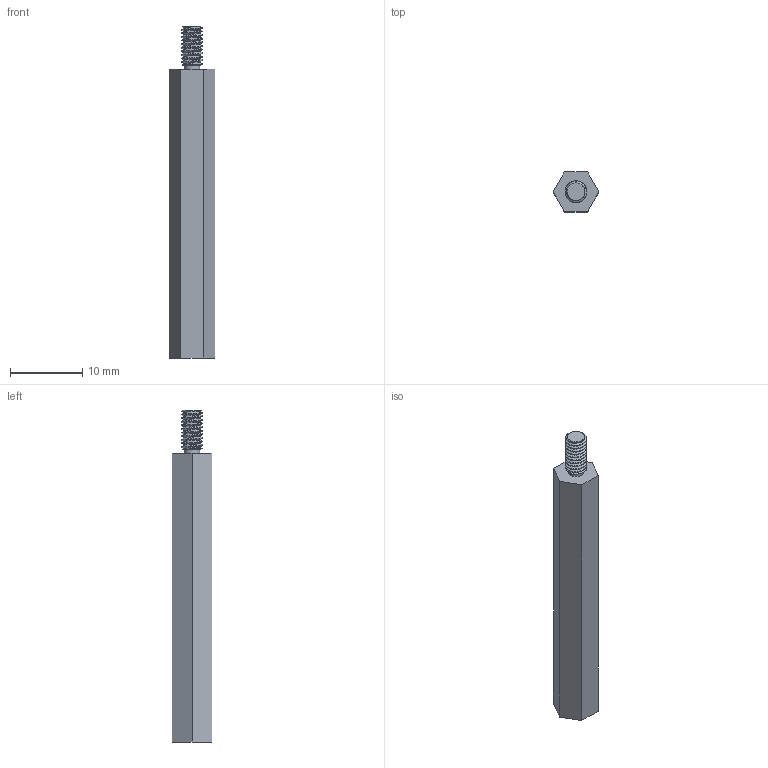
import cadquery as cq
import math

hex_across_flats = 5.5
hex_length = 40.0

stud_length = 6.0
neck_diameter = 2.2
neck_length = 0.5
thread_diameter = 3.0
thread_pitch = 0.5
end_taper_length = 0.2

flank_slope = math.tan(math.radians(30))
sharp_height = thread_pitch / 2 / flank_slope
ridge_height = sharp_height * 5 / 8
crest_width = thread_pitch / 8

root_overlap = 0.05
trim_clearance = 0.1
core_seam_turn = 90.0

thread_radius = thread_diameter / 2
core_radius = thread_radius - ridge_height
thread_start = hex_length + neck_length
thread_end = hex_length + stud_length
thread_length = thread_end - thread_start


def make_body():
    across_corners = hex_across_flats / math.cos(math.radians(30))
    return cq.Workplane("XY").polygon(6, across_corners).extrude(hex_length)


def make_cylinder(radius, start, length):
    return cq.Workplane("XY").workplane(offset=start).circle(radius).extrude(length)


def make_trim_blank():
    """Blank slightly larger than the thread, coned down to the core at both ends."""
    blank_radius = thread_radius + trim_clearance
    cone_length = end_taper_length * (blank_radius - core_radius) / ridge_height
    return (
        cq.Workplane("XZ")
        .moveTo(0, thread_start)
        .lineTo(core_radius, thread_start)
        .lineTo(blank_radius, thread_start + cone_length)
        .lineTo(blank_radius, thread_end - cone_length)
        .lineTo(core_radius, thread_end)
        .lineTo(0, thread_end)
        .close()
        .revolve()
    )


def make_thread_ridge():
    """Helical ridge, run half a pitch past both ends of the thread and trimmed there."""
    root_radius = core_radius - root_overlap
    helix_start = thread_start - thread_pitch / 2
    helix_length = thread_length + thread_pitch
    half_crest = crest_width / 2
    half_root = half_crest + (thread_radius - root_radius) * flank_slope

    path = cq.Wire.makeHelix(thread_pitch, helix_length, root_radius, center=cq.Vector(0, 0, helix_start))
    ridge = (
        cq.Workplane("XZ")
        .moveTo(root_radius, helix_start - half_root)
        .lineTo(thread_radius, helix_start - half_crest)
        .lineTo(thread_radius, helix_start + half_crest)
        .lineTo(root_radius, helix_start + half_root)
        .close()
        .sweep(cq.Workplane(path), isFrenet=True)
    )
    return ridge.intersect(make_trim_blank())


def make_threaded_stud():
    core = make_cylinder(core_radius, thread_start, thread_length)
    core = core.rotate((0, 0, 0), (0, 0, 1), core_seam_turn)
    return core.union(make_thread_ridge())


body = make_body()
neck = make_cylinder(neck_diameter / 2, hex_length, neck_length)
result = body.union(neck).union(make_threaded_stud())